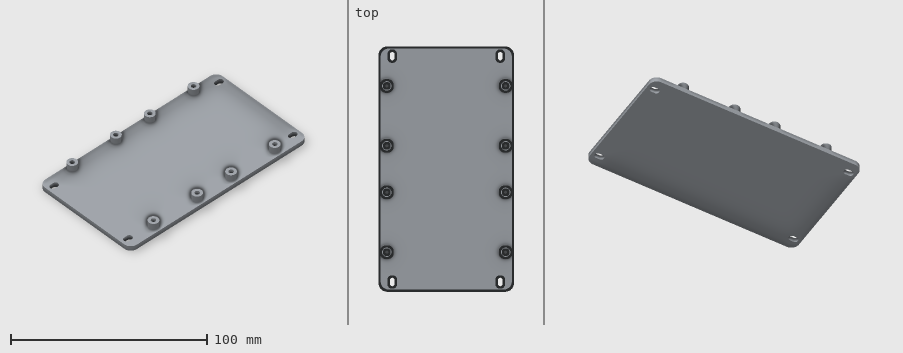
import cadquery as cq
import math

PLATE_WIDTH = 68.08
PLATE_LENGTH = 124.0
PLATE_THICKNESS = 3.0
CORNER_RADIUS = 4.5

SLOT_WIDTH = 3.5
SLOT_LENGTH = 5.5
SLOT_ANGLE = 90
SLOT_SPACING_X = 55.0
SLOT_SPACING_Y = 115.0

TOTAL_HEIGHT = 8.0
STANDOFF_DIAMETER = 6.0
STANDOFF_HOLE_DIAMETER = 2.8
STANDOFF_FILLET = 1.0
STANDOFF_SPACING_X = 60.5
STANDOFF_PITCH_Y = 30.48
GROUP_GAP_Y = 23.7

STANDOFF_HEIGHT = TOTAL_HEIGHT - PLATE_THICKNESS
STANDOFF_INNER_Y = GROUP_GAP_Y / 2
STANDOFF_OUTER_Y = STANDOFF_INNER_Y + STANDOFF_PITCH_Y
STANDOFF_POSITIONS = [
    (side * STANDOFF_SPACING_X / 2, y)
    for side in (-1, 1)
    for y in (-STANDOFF_OUTER_Y, -STANDOFF_INNER_Y, STANDOFF_INNER_Y, STANDOFF_OUTER_Y)
]


def rounded_block(height):
    """Block with the plate's rounded outline, standing on Z = 0."""
    block = cq.Workplane("XY").rect(PLATE_WIDTH, PLATE_LENGTH).extrude(height)
    return block.edges("|Z").fillet(CORNER_RADIUS)


def slotted_plate():
    """Base plate with a through slot near each corner."""
    slots = (
        cq.Workplane("XY")
        .rect(SLOT_SPACING_X, SLOT_SPACING_Y, forConstruction=True)
        .vertices()
        .slot2D(SLOT_LENGTH, SLOT_WIDTH, SLOT_ANGLE)
        .extrude(PLATE_THICKNESS)
    )
    return rounded_block(PLATE_THICKNESS).cut(slots)


def standoff():
    """Solid post on the Z axis, flaring into the plate top through a concave fillet."""
    radius = STANDOFF_DIAMETER / 2
    foot_radius = radius + STANDOFF_FILLET
    foot_top = PLATE_THICKNESS + STANDOFF_FILLET
    arc_inset = STANDOFF_FILLET * (1 - math.sqrt(0.5))
    arc_middle = (radius + arc_inset, PLATE_THICKNESS + arc_inset)
    return (
        cq.Workplane("XZ")
        .moveTo(0, PLATE_THICKNESS)
        .lineTo(foot_radius, PLATE_THICKNESS)
        .threePointArc(arc_middle, (radius, foot_top))
        .lineTo(radius, TOTAL_HEIGHT)
        .lineTo(0, TOTAL_HEIGHT)
        .close()
        .revolve()
    )


def standoffs():
    """All standoffs, with their feet trimmed flush with the plate sides."""
    post = standoff()
    posts = cq.Workplane("XY")
    for x, y in STANDOFF_POSITIONS:
        posts = posts.add(post.translate((x, y, 0)))
    return posts.combine().intersect(rounded_block(TOTAL_HEIGHT))


def standoff_holes():
    """Blind bores running down each standoff to the plate top."""
    return (
        cq.Workplane("XY", origin=(0, 0, PLATE_THICKNESS))
        .pushPoints(STANDOFF_POSITIONS)
        .circle(STANDOFF_HOLE_DIAMETER / 2)
        .extrude(STANDOFF_HEIGHT)
    )


result = slotted_plate().union(standoffs()).cut(standoff_holes())